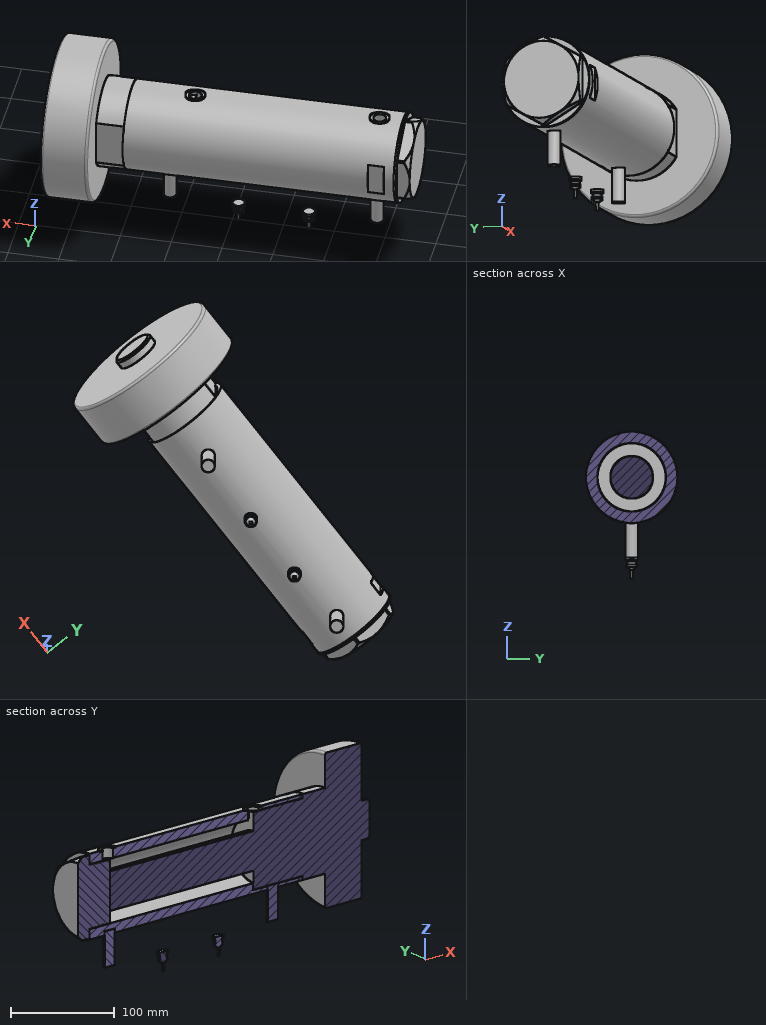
import cadquery as cq
import math


collar_start = 12.5
barrel_start = 14.5
rod_start = 40.8
head_start = 219.0
barrel_end = 281.2
flange_start = 308.5
flange_end = 355.0
rod_end = 364.3

barrel_diameter = 88.5
bore_diameter = 65.5
head_spigot_diameter = 79.5

across_flats = 75.5
hexagon_turned_diameter = 86.0

flange_diameter = 160.0
flange_edge_radius = 2.5
rod_diameter = 41.0
rod_chamfer = 2.0

port_positions = (37.5, head_start)
port_diameter = 12.5
spotface_diameter = 19.3
barrel_radius = barrel_diameter / 2
spotface_height = math.sqrt(barrel_radius**2 - (spotface_diameter / 2) ** 2)

recess_start = 24.5
recess_end = 40.0
recess_height = 32.0
recess_distance = math.sqrt(barrel_radius**2 - (recess_height / 2) ** 2)

pin_positions = (40.0, 243.7)
pin_diameter = 12.8
pin_bottom = -77.2
pin_seat = -40.0

plug_positions = (107.0, 176.5)
plug_cap_diameter = 12.5
plug_shoulder_diameter = 10.0
plug_neck_diameter = 8.7
plug_bead_diameter = 10.5
plug_stem_diameter = 3.0
plug_top = pin_bottom
plug_cap_bottom = -79.8
plug_neck_top = -81.2
plug_bead_top = -84.0
plug_bead_bottom = -86.5
plug_stem_top = -89.3
plug_bottom = -97.45


def cylinder_along_x(diameter, start, end):
    """Solid cylinder on the X axis between two stations."""
    return cq.Workplane("YZ", origin=(start, 0, 0)).circle(diameter / 2).extrude(end - start)


def upright_cylinder(diameter, x, bottom, top):
    """Solid cylinder parallel to Z on the Y = 0 plane."""
    return cq.Workplane("XY", origin=(x, 0, bottom)).circle(diameter / 2).extrude(top - bottom)


def block(start, end, y_center, width, height):
    """Box centred on Z = 0 between two stations along X."""
    length = end - start
    return cq.Workplane("XY").box(length, width, height).translate((start + length / 2, y_center, 0))


def make_pin(x):
    return upright_cylinder(pin_diameter, x, pin_bottom, pin_seat)


def make_barrel():
    barrel = cylinder_along_x(barrel_diameter, barrel_start, barrel_end)
    barrel = barrel.cut(cylinder_along_x(bore_diameter, barrel_start, barrel_end))
    barrel = barrel.cut(cylinder_along_x(head_spigot_diameter, head_start, barrel_end))
    for x in port_positions:
        barrel = barrel.cut(upright_cylinder(port_diameter, x, 0, barrel_radius))
        barrel = barrel.cut(upright_cylinder(spotface_diameter, x, spotface_height, barrel_diameter))
    for side in (-1, 1):
        y_center = side * (recess_distance + barrel_radius / 2)
        barrel = barrel.cut(block(recess_start, recess_end, y_center, barrel_radius, barrel_diameter))
    for x in pin_positions:
        barrel = barrel.cut(make_pin(x))
    return barrel


def make_cap():
    hexagon_diameter = across_flats / math.cos(math.pi / 6)
    chamfer = (hexagon_turned_diameter - across_flats) / 2
    hexagon = cq.Workplane("YZ").polygon(6, hexagon_diameter).extrude(collar_start)
    hexagon = hexagon.rotate((0, 0, 0), (1, 0, 0), 30)
    turned = cylinder_along_x(hexagon_turned_diameter, 0, collar_start).faces("<X").chamfer(chamfer)
    collar = cylinder_along_x(barrel_diameter, collar_start, barrel_start)
    spigot = cylinder_along_x(bore_diameter, barrel_start, rod_start)
    return hexagon.intersect(turned).union(collar).union(spigot)


def make_head():
    spigot = cylinder_along_x(head_spigot_diameter, head_start, barrel_end)
    neck = cylinder_along_x(barrel_diameter, barrel_end, flange_start)
    neck = neck.intersect(block(barrel_end, flange_start, 0, across_flats, barrel_diameter))
    flange = cylinder_along_x(flange_diameter, flange_start, flange_end).edges().fillet(flange_edge_radius)
    rod = cylinder_along_x(rod_diameter, rod_start, rod_end).faces(">X").chamfer(rod_chamfer)
    return spigot.union(neck).union(flange).union(rod)


def make_plug(x):
    profile = [
        (0, plug_top),
        (plug_cap_diameter / 2, plug_top),
        (plug_cap_diameter / 2, plug_cap_bottom),
        (plug_shoulder_diameter / 2, plug_cap_bottom),
        (plug_neck_diameter / 2, plug_neck_top),
        (plug_neck_diameter / 2, plug_bead_top),
        (plug_bead_diameter / 2, plug_bead_top),
        (plug_bead_diameter / 2, plug_bead_bottom),
        (plug_stem_diameter / 2, plug_stem_top),
        (plug_stem_diameter / 2, plug_bottom),
        (0, plug_bottom),
    ]
    return cq.Workplane("XZ").polyline(profile).close().revolve(360, (0, 0), (0, 1)).translate((x, 0, 0))


barrel = make_barrel()
cap = make_cap()
head = make_head()
pins = [make_pin(x) for x in pin_positions]
plugs = [make_plug(x) for x in plug_positions]

result = cq.Compound.makeCompound(
    [
        barrel.val(),
        cap.val(),
        head.val(),
        *[pin.val() for pin in pins],
        *[plug.val() for plug in plugs],
    ]
)